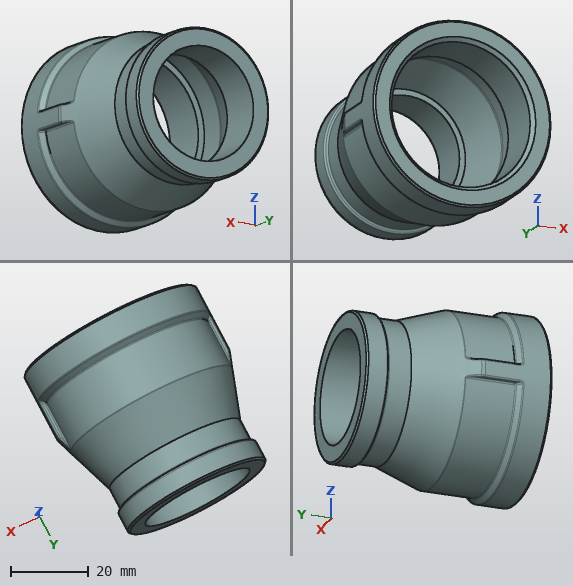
import cadquery as cq

length = 49.0

band_radius = 25.0
band_length = 8.0
rim_chamfer = 0.5

body_radius = 23.5
shoulder_end = band_length + band_radius - body_radius
waist_radius = 19.0
waist_start = 36.4
taper_start = 18.9
taper_blend = 3.0
taper_slope = (band_radius - waist_radius) / (waist_start - taper_start)
body_end = waist_start - (body_radius - waist_radius) / taper_slope

collar_radius = 20.0
collar_start = 43.0
collar_blend = (collar_radius - waist_radius) / 2
collar_chamfer = 0.5

rib_width = 5.0
recess_blend = 0.5
corner_blend = 0.5

large_bore_radius = 38.95 / 2
large_bore_depth = 15.0
entry_radius = 41.1 / 2
entry_depth = 1.1
relief_radius = 42.6 / 2
cone_start_depth = 23.0
cone_blend = 2.0
cone_end_radius = 33.6 / 2
cone_end_depth = cone_start_depth + (relief_radius - cone_end_radius) / taper_slope
small_bore_radius = 30.29 / 2

clearance = 2 * length

edge_tolerance = 0.05


def revolve_about_y(points):
    """Solid of revolution about Y from (radius, y) points."""
    return cq.Workplane("XY").polyline(points).close().revolve(360, (0, 0, 0), (0, 1, 0))


def fillet_edges_at(part, y, radius, tolerance=edge_tolerance):
    """Fillet every edge whose centre lies at the given Y, and the edges tangent to it."""
    low_corner = (-clearance, y - tolerance, -clearance)
    high_corner = (clearance, y + tolerance, clearance)
    return part.edges(cq.selectors.BoxSelector(low_corner, high_corner)).fillet(radius)


def make_envelope():
    """Outside of the coupling before the recesses: band radius up to the taper."""
    lip_middle = (collar_radius + waist_radius) / 2
    profile = (
        cq.Workplane("XY")
        .lineTo(band_radius - rim_chamfer, 0)
        .lineTo(band_radius, rim_chamfer)
        .lineTo(band_radius, taper_start)
        .lineTo(waist_radius, waist_start)
        .lineTo(waist_radius, collar_start - collar_blend)
        .radiusArc((lip_middle, collar_start), collar_blend)
        .radiusArc((collar_radius, collar_start + collar_blend), -collar_blend)
        .lineTo(collar_radius, length - collar_chamfer)
        .lineTo(collar_radius - collar_chamfer, length)
        .lineTo(0, length)
        .close()
    )
    envelope = profile.revolve(360, (0, 0, 0), (0, 1, 0))
    return fillet_edges_at(envelope, taper_start, taper_blend)


def make_recesses():
    """Ring that lowers the band to the body radius, interrupted at the two ribs."""
    outer_radius = 2 * band_radius
    ring = revolve_about_y([
        (body_radius, shoulder_end),
        (outer_radius, shoulder_end - (outer_radius - body_radius)),
        (outer_radius, body_end),
        (body_radius, body_end),
    ])
    slab = cq.Workplane("XY").box(2 * clearance, 2 * clearance, rib_width)
    return ring.cut(slab)


def make_bore():
    """Space inside the coupling, open at both ends."""
    bore = revolve_about_y([
        (0, 0),
        (entry_radius, 0),
        (large_bore_radius, entry_depth),
        (large_bore_radius, large_bore_depth),
        (relief_radius, large_bore_depth),
        (relief_radius, cone_start_depth),
        (cone_end_radius, cone_end_depth),
        (small_bore_radius, cone_end_depth),
        (small_bore_radius, length),
        (0, length),
    ])
    return fillet_edges_at(bore, cone_start_depth, cone_blend)


def blend_recesses(part):
    """Round the recesses: first the corners beside the ribs, then the foot, then the top."""
    shoulder_middle = (band_length + shoulder_end) / 2
    shoulder_band = (shoulder_end - band_length) / 4
    part = fillet_edges_at(part, shoulder_middle, corner_blend, shoulder_band)
    part = fillet_edges_at(part, shoulder_end, recess_blend)
    return fillet_edges_at(part, band_length, recess_blend)


coupling = blend_recesses(make_envelope().cut(make_recesses()))
result = coupling.cut(make_bore())